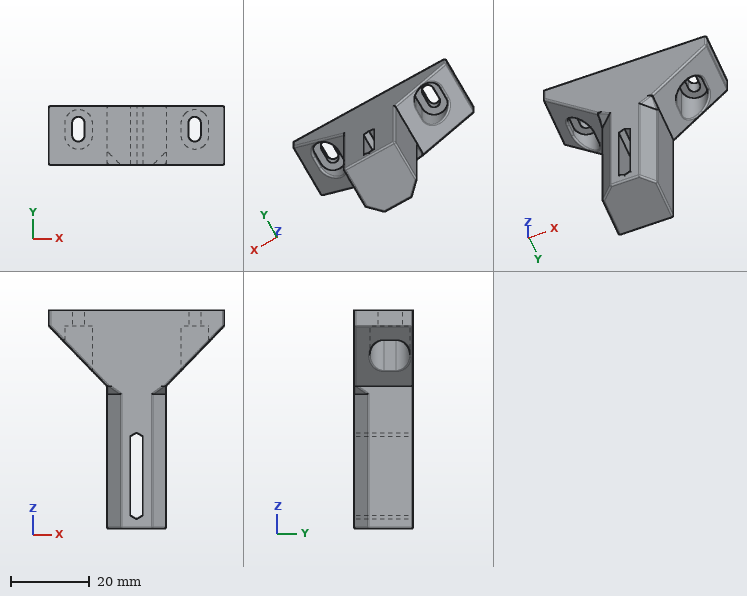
import cadquery as cq
import math

plate_length = 44.5
stem_side = 15.0
height = 55.4
half_side = stem_side / 2

plate_thickness = 4.0
plate_bottom = height - plate_thickness
flare_bottom = 36.2
edge_radius = 0.5

corner_cut = 3.55
corner_cut_top = 34.1
overhang_rise = corner_cut / math.sqrt(2)

screw_spacing = 29.5
screw_y = 1.6
slot_width = 3.1
slot_travel = 3.1
head_diameter = 7.0
head_rim_radius = 0.4

window_bottom = 2.5
window_top = 24.3
window_width = 3.1


def corner_cutter(side):
    """Front corner prism for the stem; its sloped top rises to the corner."""
    corner = cq.Vector(side * half_side, -half_side, 0)
    on_front = corner + cq.Vector(-side * corner_cut, 0, 0)
    on_side = corner + cq.Vector(0, corner_cut, 0)
    front_top = on_front + cq.Vector(0, 0, corner_cut_top)
    side_top = on_side + cq.Vector(0, 0, corner_cut_top)
    apex = corner + cq.Vector(0, 0, corner_cut_top + overhang_rise)
    outlines = [
        [corner, on_front, on_side],
        [corner, on_front, front_top, apex],
        [corner, on_side, side_top, apex],
        [on_front, on_side, side_top, front_top],
        [front_top, side_top, apex],
    ]
    faces = [cq.Face.makeFromWires(cq.Wire.makePolygon(points, close=True)) for points in outlines]
    return cq.Workplane(cq.Solid.makeSolid(cq.Shell.makeShell(faces)))


def make_stem():
    """Square post with cut front corners, reaching up inside the flare."""
    stem = cq.Workplane("XY").rect(stem_side, stem_side).extrude(plate_bottom)
    for side in (-1, 1):
        stem = stem.cut(corner_cutter(side))
    overhang_feet = cq.selectors.BoxSelector(
        (-half_side, -half_side, corner_cut_top - edge_radius),
        (half_side, half_side, corner_cut_top + edge_radius),
    )
    rounded = cq.selectors.InverseSelector(overhang_feet)
    return stem.edges("not >Z").edges(rounded).fillet(edge_radius)


def long_holes(width, bottom, top):
    """Vertical round-ended slots, elongated along Y, at both screw places."""
    return (
        cq.Workplane("XY", origin=(0, screw_y, bottom))
        .pushPoints([(-screw_spacing / 2, 0), (screw_spacing / 2, 0)])
        .slot2D(width + slot_travel, width, 90)
        .extrude(top - bottom)
    )


def round_pocket_rim(flare, screw_x):
    """Round the edge where one head pocket opens through the sloped face."""
    reach_x = head_diameter / 2 + edge_radius
    reach_y = (head_diameter + slot_travel) / 2
    around_pocket = cq.selectors.BoxSelector(
        (screw_x - reach_x, screw_y - reach_y, flare_bottom),
        (screw_x + reach_x, screw_y + reach_y, plate_bottom - edge_radius),
    )
    return flare.edges("not |Z").edges(around_pocket).fillet(head_rim_radius)


def make_flare():
    """Plate and flare in one silhouette, pocketed for the screw heads."""
    flare = (
        cq.Workplane("XZ")
        .moveTo(-half_side, flare_bottom)
        .lineTo(half_side, flare_bottom)
        .lineTo(plate_length / 2, plate_bottom)
        .lineTo(plate_length / 2, height)
        .lineTo(-plate_length / 2, height)
        .lineTo(-plate_length / 2, plate_bottom)
        .close()
        .extrude(half_side, both=True)
        .edges("not(>Z or <Z)")
        .fillet(edge_radius)
    )
    flare = flare.cut(long_holes(head_diameter, 0, plate_bottom))
    for side in (-1, 1):
        flare = round_pocket_rim(flare, side * screw_spacing / 2)
    return flare


def make_window():
    """Narrow opening along Z, cut through the full depth of the stem."""
    half_width = window_width / 2
    point_height = half_width * math.tan(math.radians(30))
    return (
        cq.Workplane("XZ")
        .moveTo(0, window_bottom)
        .lineTo(half_width, window_bottom + point_height)
        .lineTo(half_width, window_top - point_height)
        .lineTo(0, window_top)
        .lineTo(-half_width, window_top - point_height)
        .lineTo(-half_width, window_bottom + point_height)
        .close()
        .extrude(half_side, both=True)
    )


body = make_flare().union(make_stem())
body = body.cut(long_holes(slot_width, plate_bottom, height))
result = body.cut(make_window())